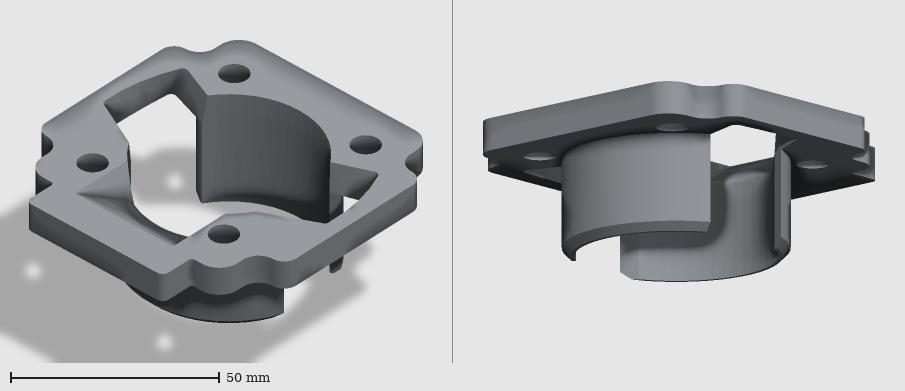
import cadquery as cq
import math

flange_thickness = 8.0
total_height = 31.7

half_width = 41.0
body_half_width = 32.0
body_half_length = 37.5
ear_half_length = 24.5
body_corner_radius = 6.0
ear_corner_radius = 4.0
tab_half_width = 22.5
tab_end_y = -47.5
tab_corner_radius = 2.0
tab_root_radius = 1.0

bolt_diameter = 7.8
bolt_x = 21.5
bolt_y = 25.0

bore_radius = 24.5
spigot_radius = 27.5
spigot_chamfer = 2.0

port_inner_x = 15.0
port_top_upper_inner = (port_inner_x, 11.9)
port_top_upper_outer = (31.8, 18.9)
port_top_middle = (35.8, 7.0)
port_top_lower_outer = (36.6, -5.2)
port_top_lower_inner = (port_inner_x, -15.7)
port_bottom_upper_inner = (port_inner_x, 11.0)
port_bottom_upper_outer = (34.7, 17.5)
port_bottom_middle = (35.5, 8.0)
port_bottom_lower_outer = (35.7, -3.8)
port_bottom_lower_inner = (port_inner_x, -14.45)
port_corner_radius = 1.3

ramp_inner_y = -10.0
ramp_top_half_width = 16.0
ramp_top_y = -37.0
ramp_foot_half_width = 11.5
ramp_foot_radius = 26.2
ramp_foot_depth = 7.0
ramp_lip_half_width = 10.6
ramp_lip_depth = 8.5


def make_flange():
    """Plate with stepped, rounded ears on both sides and a tab at the -Y end."""
    depth = flange_thickness
    body = cq.Workplane("XY").rect(2 * body_half_width, 2 * body_half_length).extrude(-depth)
    body = body.edges("|Z").fillet(body_corner_radius)
    ears = cq.Workplane("XY").rect(2 * half_width, 2 * ear_half_length).extrude(-depth)
    ears = ears.edges("|Z").fillet(ear_corner_radius)
    flange = body.union(ears)

    ear_root_radius = half_width - body_half_width - ear_corner_radius
    for x_sign in (-1, 1):
        for y_sign in (-1, 1):
            root = (x_sign * body_half_width, y_sign * ear_half_length)
            flange = flange.union(root_fillet(root, x_sign, y_sign, ear_root_radius))

    tab_length = -ear_half_length - tab_end_y
    tab = cq.Workplane("XY").center(0, tab_end_y + tab_length / 2)
    tab = tab.rect(2 * tab_half_width, tab_length).extrude(-depth)
    tab = tab.edges("|Z and <Y").fillet(tab_corner_radius)
    flange = flange.union(tab)
    for x_sign in (-1, 1):
        root = (x_sign * tab_half_width, -body_half_length)
        flange = flange.union(root_fillet(root, x_sign, -1, tab_root_radius))
    return flange


def root_fillet(root, x_sign, y_sign, radius):
    """Filler for an inside corner at root that opens towards (x_sign, y_sign)."""
    x, y = root
    mid_offset = radius * (1 - math.sqrt(0.5))
    return (
        cq.Workplane("XY")
        .moveTo(x, y)
        .lineTo(x + x_sign * radius, y)
        .threePointArc(
            (x + x_sign * mid_offset, y + y_sign * mid_offset),
            (x, y + y_sign * radius),
        )
        .close()
        .extrude(-flange_thickness)
    )


def make_spigot():
    """Round skirt below the flange, chamfered around its lower outer edge."""
    spigot = cq.Workplane("XY").circle(spigot_radius).extrude(-total_height)
    return spigot.faces("<Z").chamfer(spigot_chamfer)


def port_outline(workplane, upper_inner, upper_outer, middle, lower_outer, lower_inner):
    """Closed port outline with a curved outer side."""
    return (
        workplane.moveTo(*upper_inner)
        .lineTo(*upper_outer)
        .threePointArc(middle, lower_outer)
        .lineTo(*lower_inner)
        .close()
    )


def make_port():
    """The +X port: tapered through the flange, then straight down through the spigot."""
    bottom_corners = (
        port_bottom_upper_inner,
        port_bottom_upper_outer,
        port_bottom_middle,
        port_bottom_lower_outer,
        port_bottom_lower_inner,
    )
    taper = port_outline(
        cq.Workplane("XY"),
        port_top_upper_inner,
        port_top_upper_outer,
        port_top_middle,
        port_top_lower_outer,
        port_top_lower_inner,
    )
    taper = port_outline(taper.workplane(offset=-flange_thickness), *bottom_corners)
    taper = taper.loft(ruled=True)
    outer_corners = cq.selectors.BoxSelector(
        (port_top_upper_outer[0], -half_width, -0.75 * flange_thickness),
        (half_width, half_width, -0.25 * flange_thickness),
    )
    taper = taper.edges(outer_corners).fillet(port_corner_radius)
    slot_base = cq.Workplane("XY").workplane(offset=-flange_thickness)
    slot = port_outline(slot_base, *bottom_corners).extrude(flange_thickness - total_height)
    return taper.union(slot)


def ramp_section(workplane, half_width_here, corner_y, middle_y):
    """Pocket section, its outer side bowed through (0, middle_y)."""
    return (
        workplane.moveTo(-half_width_here, ramp_inner_y)
        .lineTo(-half_width_here, corner_y)
        .threePointArc((0, middle_y), (half_width_here, corner_y))
        .lineTo(half_width_here, ramp_inner_y)
        .close()
    )


def make_ramp_pocket():
    """Pocket whose floor ramps down to the bore and steepens at the lip."""
    foot_y = -math.sqrt(ramp_foot_radius**2 - ramp_foot_half_width**2)
    lip_y = -math.sqrt(bore_radius**2 - ramp_lip_half_width**2)

    upper = (
        cq.Workplane("XY")
        .moveTo(-ramp_top_half_width, ramp_inner_y)
        .lineTo(-ramp_top_half_width, ramp_top_y)
        .lineTo(ramp_top_half_width, ramp_top_y)
        .lineTo(ramp_top_half_width, ramp_inner_y)
        .close()
        .workplane(offset=-ramp_foot_depth)
    )
    upper = ramp_section(upper, ramp_foot_half_width, foot_y, -ramp_foot_radius).loft(ruled=True)

    lower = cq.Workplane("XY").workplane(offset=-ramp_foot_depth)
    lower = ramp_section(lower, ramp_foot_half_width, foot_y, -ramp_foot_radius)
    lower = lower.workplane(offset=ramp_foot_depth - ramp_lip_depth)
    lower = ramp_section(lower, ramp_lip_half_width, lip_y, -bore_radius).loft(ruled=True)
    return upper.union(lower)


part = make_flange().union(make_spigot())
part = part.cut(cq.Workplane("XY").circle(bore_radius).extrude(-total_height))

bolt_holes = (
    cq.Workplane("XY")
    .rect(2 * bolt_x, 2 * bolt_y, forConstruction=True)
    .vertices()
    .circle(bolt_diameter / 2)
    .extrude(-flange_thickness)
)
part = part.cut(bolt_holes)

right_port = make_port()
part = part.cut(right_port).cut(right_port.mirror("YZ"))
part = part.cut(make_ramp_pocket())

result = part